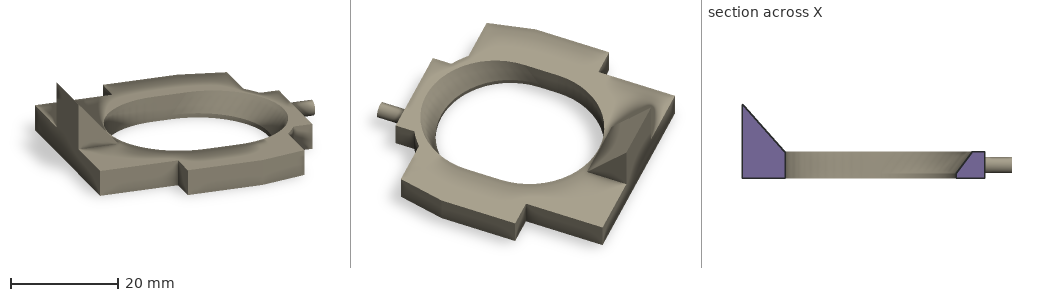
import cadquery as cq
import math

thickness = 5.0
base_half_width = 17.7
wing_half_width = 23.0
wing_back_half_width = 21.0
tab_half_width = 9.1
wing_front_y = 15.5
wing_taper_y = 30.4
wing_back_y = 39.45
tab_back_y = 45.4

opening_radius = 14.05
opening_front_center_y = 22.15
lip_back_center_y = 25.95
top_back_center_y = 29.0
lip_height = 0.85

shoulder_radius = 18.15

pin_diameter = 3.0
pin_x = -4.55
pin_z = thickness / 2
pin_end_y = 50.45

wedge_width = 12.1
wedge_depth = 7.95
total_height = 14.0


def shoulder_height(x):
    """Y position of the shoulder arc at a distance x from the center line."""
    return lip_back_center_y + math.sqrt(shoulder_radius**2 - x**2)


def make_plate():
    shoulder_reach = math.sqrt(shoulder_radius**2 - (wing_back_y - lip_back_center_y) ** 2)
    middle_x = (shoulder_reach + tab_half_width) / 2
    half = (
        cq.Workplane("XY")
        .lineTo(base_half_width, 0)
        .lineTo(base_half_width, wing_front_y)
        .lineTo(wing_half_width, wing_front_y)
        .lineTo(wing_half_width, wing_taper_y)
        .lineTo(wing_back_half_width, wing_back_y)
        .lineTo(shoulder_reach, wing_back_y)
        .threePointArc(
            (middle_x, shoulder_height(middle_x)),
            (tab_half_width, shoulder_height(tab_half_width)),
        )
        .lineTo(tab_half_width, tab_back_y)
        .lineTo(0, tab_back_y)
        .close()
        .extrude(thickness)
    )
    return half.union(half.mirror("YZ")).clean()


def draw_slot(workplane, back_center_y):
    """Slot outline with its front end fixed and its back end at back_center_y."""
    return (
        workplane.moveTo(-opening_radius, opening_front_center_y)
        .threePointArc(
            (0, opening_front_center_y - opening_radius),
            (opening_radius, opening_front_center_y),
        )
        .lineTo(opening_radius, back_center_y)
        .threePointArc(
            (0, back_center_y + opening_radius),
            (-opening_radius, back_center_y),
        )
        .close()
    )


def make_opening():
    lip = draw_slot(cq.Workplane("XY"), lip_back_center_y).extrude(lip_height)
    lower_outline = draw_slot(cq.Workplane("XY").workplane(offset=lip_height), lip_back_center_y)
    upper_plane = lower_outline.workplane(offset=thickness - lip_height)
    leaning = draw_slot(upper_plane, top_back_center_y).loft(ruled=True)
    return lip.union(leaning)


def make_pin():
    return (
        cq.Workplane("XZ", origin=(pin_x, pin_end_y, pin_z))
        .circle(pin_diameter / 2)
        .extrude(pin_end_y - tab_back_y)
    )


def make_wedge():
    return (
        cq.Workplane("YZ", origin=(-wedge_width / 2, 0, 0))
        .moveTo(0, thickness)
        .lineTo(wedge_depth, thickness)
        .lineTo(0, total_height)
        .close()
        .extrude(wedge_width)
    )


result = make_plate().cut(make_opening()).union(make_pin()).union(make_wedge())